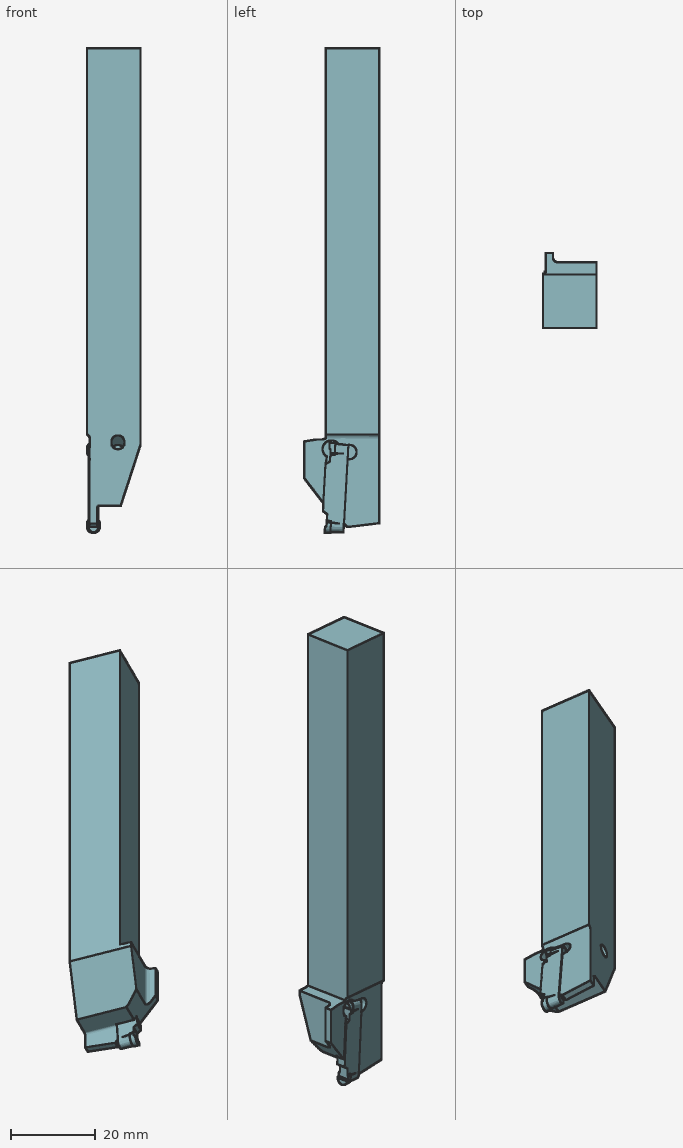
import cadquery as cq
import math

total_height = 114.5
shank_size = 12.7
overall_depth = 17.7

insert_width = 3.1
nose_radius = insert_width / 2
insert_length = 21.4
insert_back = -4.5
insert_top = 0.7
side_step = 0.3
body_width = insert_width - 2 * side_step
body_inset = 0.5
nose_shoulder = 3.1
nose_straight = 2.5
neck_end = 4.1
rake_land = 1.4
rake_drop = 0.3
rake_run = 4.5
rake_end = 5.2
clearance_angle = 5
land_depth = 1.4
flank_step = 0.17
flank_angle = 3
insert_tilt = 3.2
tip_depth = 12.9

blade_left = 2 * side_step
blade_right = insert_width - blade_left
relief_height = 22.2
relief_radius = 1.1
head_bottom = 6.4
head_bottom_width = 8.0
head_taper_top = 20.8
head_depth = 15.6
corner_radius = 1.1
foot_radius = 0.6

top_flat_height = 22.1
top_flat_start = 13.5
top_flat_end = 14.9
shoulder_height = 22.3
wing_top = 21.6
wing_bottom = 12.9
wing_foot_depth = 13.3
wing_foot_height = 7.1
blade_tip_depth = 7.5
blade_tip_height = 1.4
blade_front_height = 2.3

relief_pockets = [(11.3, 19.8, 2.1), (7.1, 19.1, 1.7)]

hole_diameter = 3.1
hole_x = 7.3
hole_z = 21.4
hole_tilt = 20
hole_depth = 6.1


def place_insert(shape):
    """Tilt an upright shape and move its lower tip to the cutting point."""
    tilted = shape.rotate((0, 0, 0), (1, 0, 0), insert_tilt)
    return tilted.translate((nose_radius, tip_depth, 0))


def across(width):
    """YZ workplane whose extrusion by width is centred on X = 0."""
    return cq.Workplane("YZ").workplane(offset=-width / 2)


def make_bar():
    """Slim bar between the noses, with round ends."""
    bar_length = insert_length - 2 * body_inset
    return (
        cq.Workplane("XZ", origin=(0, insert_top, 0))
        .center(0, insert_length / 2)
        .slot2D(bar_length, body_width, 90)
        .extrude(insert_top - insert_back)
    )


def nose_outline():
    """Outline of the lower cutting edge, with its neck."""
    return (
        cq.Workplane("XZ")
        .moveTo(-body_width / 2, neck_end)
        .lineTo(-body_width / 2, nose_shoulder)
        .lineTo(-nose_radius, nose_straight)
        .lineTo(-nose_radius, nose_radius)
        .threePointArc((0, 0), (nose_radius, nose_radius))
        .lineTo(nose_radius, nose_straight)
        .lineTo(body_width / 2, nose_shoulder)
        .lineTo(body_width / 2, neck_end)
        .close()
    )


def make_nose():
    """Round nose at the lower end: a cutting land, then a relieved flank narrowing to the bar."""
    land = nose_outline().extrude(land_depth, taper=clearance_angle)
    flank = nose_outline().offset2D(-flank_step).extrude(-insert_back, taper=flank_angle)
    return land.union(flank)


def make_rake_cut():
    """Material above the rake face at the lower end."""
    points = [
        (0, 0),
        (0, rake_land),
        (-rake_drop, rake_land + rake_drop),
        (-rake_drop, rake_run),
        (insert_top, rake_end),
        (insert_top, 0),
    ]
    return across(insert_width).polyline(points).close().extrude(insert_width)


def mirrored_end(shape):
    """The same shape at the upper end of the insert."""
    return shape.mirror("XY", (0, 0, insert_length / 2))


def make_insert():
    nose = make_nose()
    rake = make_rake_cut()
    insert = make_bar().union(nose).union(mirrored_end(nose))
    insert = insert.cut(rake).cut(mirrored_end(rake))
    return place_insert(insert)


def make_pocket():
    """Seat of the insert, with the relief pockets around its upper end."""
    end_rise = -insert_back * math.tan(math.radians(clearance_angle))
    seat = across(insert_width).polyline([
        (insert_back, 0),
        (insert_top, 0),
        (insert_top, insert_length - rake_end),
        (0, insert_length),
        (insert_back, insert_length - end_rise),
    ]).close().extrude(insert_width)
    pocket = place_insert(seat)
    for depth, height, radius in relief_pockets:
        relief = cq.Workplane("YZ").center(depth, height).circle(radius).extrude(insert_width)
        pocket = pocket.union(relief)
    return pocket


def make_screw_hole():
    hole = cq.Workplane("XZ").workplane(offset=hole_diameter).circle(hole_diameter / 2)
    hole = hole.extrude(-hole_depth - hole_diameter)
    return hole.rotate((0, 0, 0), (1, 0, 0), -hole_tilt).translate((hole_x, 0, hole_z))


def make_holder():
    arc_centre = blade_left - relief_radius
    arc_angle = math.acos(-arc_centre / relief_radius)
    relief_top = relief_height + relief_radius * math.sin(arc_angle)
    arc_middle = (
        arc_centre + relief_radius * math.cos(arc_angle / 2),
        relief_height + relief_radius * math.sin(arc_angle / 2),
    )
    front = (
        cq.Workplane("XZ")
        .moveTo(0, total_height)
        .lineTo(shank_size, total_height)
        .lineTo(shank_size, head_taper_top)
        .lineTo(head_bottom_width, head_bottom)
        .lineTo(blade_right, head_bottom)
        .lineTo(blade_right, 0)
        .lineTo(blade_left, 0)
        .lineTo(blade_left, relief_height)
        .threePointArc(arc_middle, (0, relief_top))
        .close()
        .extrude(-overall_depth)
        .edges(cq.selectors.NearestToPointSelector((blade_right, overall_depth / 2, head_bottom)))
        .fillet(foot_radius)
    )
    side = cq.Workplane("YZ").polyline([
        (0, total_height),
        (shank_size, total_height),
        (shank_size, shoulder_height),
        (top_flat_start, top_flat_height),
        (top_flat_end, top_flat_height),
        (overall_depth, wing_top),
        (overall_depth, wing_bottom),
        (wing_foot_depth, wing_foot_height),
        (blade_tip_depth, blade_tip_height),
        (0, blade_front_height),
    ]).close().extrude(shank_size)
    behind_head = (
        cq.Workplane("XY")
        .rect(shank_size, overall_depth, centered=False)
        .extrude(total_height)
        .translate((blade_right, head_depth, 0))
        .edges("|Z and <X and <Y")
        .fillet(corner_radius)
    )
    holder = front.intersect(side).cut(behind_head)
    return holder.cut(make_pocket()).cut(make_screw_hole())


holder = make_holder()
insert = make_insert()

result = cq.Compound.makeCompound([holder.val(), insert.val()])